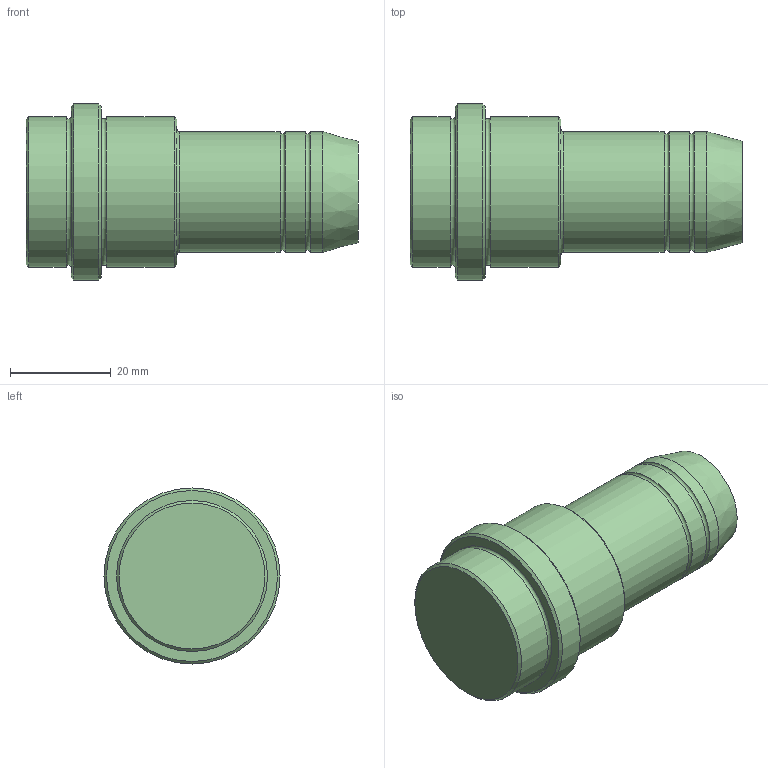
import cadquery as cq
import math

total_length = 66.0
body_radius = 30.0 / 2
flange_radius = 35.0 / 2
stem_radius = 24.0 / 2

flange_start = 9.0
flange_width = 6.0
flange_end = flange_start + flange_width
body_end = 30.0
edge_chamfer = 0.5
shoulder_fillet = 0.5

groove_radius = 0.5
body_groove_centers = (flange_start - groove_radius, flange_end + groove_radius)
stem_groove_centers = (51.0, 56.0)

tip_length = 7.0
tip_angle = 15.0
tip_radius = stem_radius - tip_length * math.tan(math.radians(tip_angle))


def make_rimmed_cylinder(start, end, radius):
    """Cylinder along X between two stations, with both rims chamfered."""
    cylinder = cq.Workplane("YZ", origin=(start, 0, 0)).circle(radius).extrude(end - start)
    return cylinder.edges("%CIRCLE").chamfer(edge_chamfer)


def make_stem():
    """Stem with a concave fillet against the body and a tapered tip."""
    profile = (
        cq.Workplane("XY")
        .moveTo(body_end, 0)
        .lineTo(body_end, stem_radius + shoulder_fillet)
        .radiusArc((body_end + shoulder_fillet, stem_radius), -shoulder_fillet)
        .lineTo(total_length - tip_length, stem_radius)
        .lineTo(total_length, tip_radius)
        .lineTo(total_length, 0)
        .close()
    )
    return profile.revolve(360, (0, 0, 0), (1, 0, 0))


def make_groove_ring(center, surface_radius):
    """Ring cutter of circular section centred on a cylindrical surface."""
    axis = cq.Vector(1, 0, 0)
    return cq.Solid.makeTorus(surface_radius, groove_radius, axis * center, axis)


def cut_grooves(part, centers, surface_radius):
    """Cut a half-round groove at each station along X."""
    for center in centers:
        part = part.cut(make_groove_ring(center, surface_radius))
    return part


body = make_rimmed_cylinder(0, body_end, body_radius)
body = cut_grooves(body, body_groove_centers, body_radius)
flange = make_rimmed_cylinder(flange_start, flange_end, flange_radius)
stem = cut_grooves(make_stem(), stem_groove_centers, stem_radius)

result = body.union(flange).union(stem)